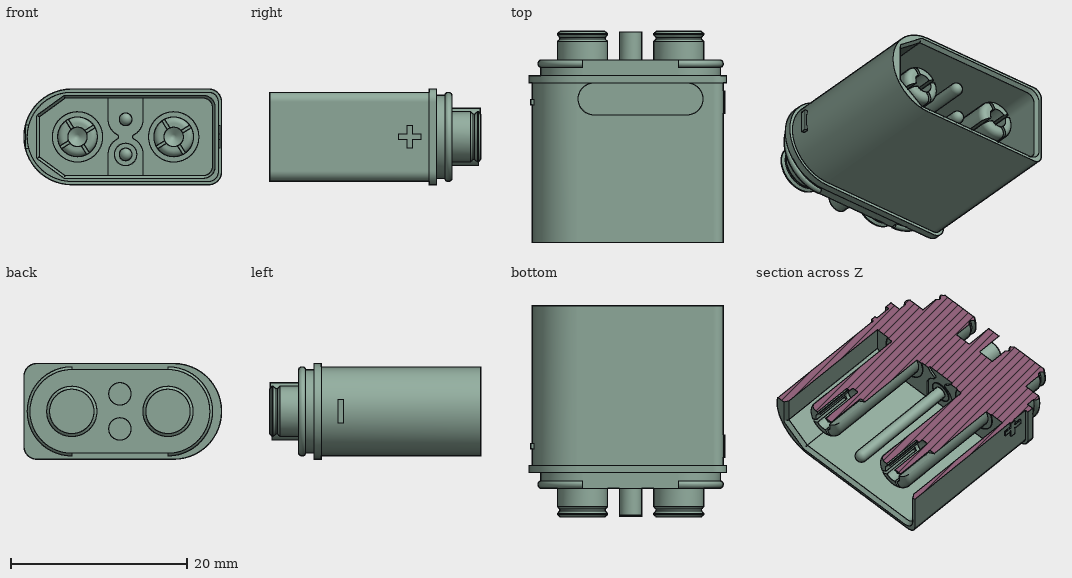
import cadquery as cq
import math

TOTAL_LENGTH = 24

SHELL_RADIUS = 5.06
SHELL_END = 16.63
SHELL_CORNER = 1.1
FLANGE_OVERHANG = 0.38
FLANGE_FRONT = 18.12
FLANGE_REAR = 18.95

BEAD_FRONT = 19.9
BEAD_CREST = 20.28
BEAD_REAR = 20.74
BEAD_HEIGHT = 0.3
CONTACT_SPACING = 10.92
CONTACT_LEFT = SHELL_END - SHELL_RADIUS - CONTACT_SPACING
CONTACT_RIGHT = CONTACT_LEFT + CONTACT_SPACING
CONTACT_MIDDLE = (CONTACT_LEFT + CONTACT_RIGHT) / 2
PLUG_RADIUS = SHELL_RADIUS - BEAD_HEIGHT

CAVITY_DEPTH = 15.0
CAVITY_HALF_HEIGHT = 4.4
CAVITY_LEFT = -3.67
CAVITY_RIGHT = 15.95
CAVITY_CUT_X = -0.77
CAVITY_CUT_Z = 2.28
CAVITY_CORNER = 1.03
MOUTH_FLARE = 0.3
MOUTH_DEPTH = 0.5

RECESS_DEPTH = 0.25
RECESS_RADIUS = 2.0
WAIST_HALF_WIDTH = 0.8

COLLAR_PROUD = 0.1
CUP_RADIUS = 2.85
PIN_RADIUS = 2.25
PIN_TIP = 1.58
PIN_FACE_RADIUS = 1.55
PIN_BORE_RADIUS = 1.1
PIN_BORE_DEPTH = 5.28
PIN_BORE_CONE = 0.65
SLIT_WIDTH = 0.35
SLIT_DEPTH = 4.8
SLIT_ANGLE = 32
GROOVE_DEPTH = 0.26
GROOVE_START = 22.82
GROOVE_END = 23.28
RIDGE_FRONT = 23.62
RIDGE_REAR = 23.7
RIM_RADIUS = 2.52

SIGNAL_OFFSET = 2.0
SIGNAL_RADIUS = 0.72
SIGNAL_BODY_RADIUS = 1.27
SIGNAL_TIP = 1.5
SIGNAL_REAR = 23.74
SIGNAL_STAGGER = 0.2

POCKET_LEFT = 0.15
POCKET_RIGHT = 14.33
POCKET_FRONT = 14.5
POCKET_DEPTH = 0.2
MARK_Y = 15.94
MARK_WIDTH = 0.62
MARK_PROUD = 0.17
MINUS_LENGTH = 2.7
PLUS_LENGTH = 2.55


def section(y):
    """Workplane across the part at depth y, with local axes X and Z."""
    return cq.Workplane("XZ", origin=(0, y, 0))


def shell_block(offset, front, rear):
    """Solid D-shaped length of shell, grown outward by offset."""
    radius = SHELL_RADIUS + offset
    end = SHELL_END + offset
    return (
        section(front)
        .moveTo(end, radius)
        .lineTo(0, radius)
        .threePointArc((-radius, 0), (0, -radius))
        .lineTo(end, -radius)
        .close()
        .extrude(front - rear)
        .edges("|Y and >X")
        .fillet(SHELL_CORNER + offset)
    )


def stadium(radius, front, rear):
    """Slot-shaped solid whose round ends are centred on the power contacts."""
    return (
        section(front)
        .center(CONTACT_MIDDLE, 0)
        .slot2D(CONTACT_SPACING + 2 * radius, 2 * radius)
        .extrude(front - rear)
    )


def bead_half(edge):
    """Disc from the bead crest to one edge, with a round flank tangent to Y at the crest."""
    width = edge - BEAD_CREST
    flank_radius = (width**2 + BEAD_HEIGHT**2) / (2 * BEAD_HEIGHT)
    half_angle = math.asin(width / flank_radius) / 2
    flank_middle = (
        SHELL_RADIUS - flank_radius * (1 - math.cos(half_angle)),
        BEAD_CREST + flank_radius * math.sin(half_angle),
    )
    return (
        cq.Workplane("XY")
        .moveTo(0, BEAD_CREST)
        .lineTo(SHELL_RADIUS, BEAD_CREST)
        .threePointArc(flank_middle, (PLUG_RADIUS, edge))
        .lineTo(0, edge)
        .close()
        .revolve(360, (0, 0, 0), (0, 1, 0))
    )


def rear_body():
    plug = stadium(PLUG_RADIUS, FLANGE_REAR, BEAD_REAR)
    between_ends = (
        section(BEAD_FRONT)
        .center(CONTACT_MIDDLE, 0)
        .rect(CONTACT_SPACING, 2 * SHELL_RADIUS)
        .extrude(BEAD_FRONT - BEAD_REAR)
    )
    for contact_x in (CONTACT_LEFT, CONTACT_RIGHT):
        bead = bead_half(BEAD_FRONT).union(bead_half(BEAD_REAR)).translate((contact_x, 0, 0))
        plug = plug.union(bead.cut(between_ends))
    return plug


def cavity_outline():
    return (
        cq.Sketch()
        .polygon([
            (CAVITY_RIGHT, CAVITY_HALF_HEIGHT),
            (CAVITY_CUT_X, CAVITY_HALF_HEIGHT),
            (CAVITY_LEFT, CAVITY_CUT_Z),
            (CAVITY_LEFT, -CAVITY_CUT_Z),
            (CAVITY_CUT_X, -CAVITY_HALF_HEIGHT),
            (CAVITY_RIGHT, -CAVITY_HALF_HEIGHT),
            (CAVITY_RIGHT, CAVITY_HALF_HEIGHT),
        ])
        .vertices(">X")
        .fillet(CAVITY_CORNER)
        .reset()
    )


def cavity():
    straight = section(0).placeSketch(cavity_outline()).extrude(-CAVITY_DEPTH)
    flare_angle = math.degrees(math.atan(MOUTH_FLARE / MOUTH_DEPTH))
    flare = section(MOUTH_DEPTH).placeSketch(cavity_outline()).extrude(MOUTH_DEPTH, taper=-flare_angle)
    return straight.union(flare)


def floor_recess():
    """Two round-ended slots joined by a waist with a rounded nose on each side."""
    nose_radius = (
        (WAIST_HALF_WIDTH**2 + SIGNAL_OFFSET**2 - RECESS_RADIUS**2)
        / (2 * (RECESS_RADIUS - WAIST_HALF_WIDTH))
    )
    nose_x = WAIST_HALF_WIDTH + nose_radius
    waist_half_height = SIGNAL_OFFSET * nose_radius / (RECESS_RADIUS + nose_radius)

    plane = section(CAVITY_DEPTH).center(CONTACT_MIDDLE, 0)
    noses = plane.pushPoints([(-nose_x, 0), (nose_x, 0)]).circle(nose_radius).extrude(-RECESS_DEPTH)
    recess = plane.rect(2 * nose_x, 2 * waist_half_height).extrude(-RECESS_DEPTH).cut(noses)
    slot_length = CAVITY_HALF_HEIGHT - SIGNAL_OFFSET
    for side in (-1, 1):
        round_end = plane.center(0, side * SIGNAL_OFFSET).circle(RECESS_RADIUS).extrude(-RECESS_DEPTH)
        straight = (
            plane.center(0, side * (SIGNAL_OFFSET + slot_length / 2))
            .rect(2 * RECESS_RADIUS, slot_length)
            .extrude(-RECESS_DEPTH)
        )
        beyond_wall = (
            plane.center(0, side * (CAVITY_HALF_HEIGHT + RECESS_RADIUS))
            .rect(2 * RECESS_RADIUS, 2 * RECESS_RADIUS)
            .extrude(-RECESS_DEPTH)
        )
        recess = recess.union(round_end).union(straight).cut(beyond_wall)
    return recess


def power_contact():
    bore_end = PIN_TIP + PIN_BORE_DEPTH
    nose = PIN_RADIUS - PIN_FACE_RADIUS
    nose_diagonal = nose * math.sqrt(0.5)
    collar_front = CAVITY_DEPTH - COLLAR_PROUD
    groove_radius = CUP_RADIUS - GROOVE_DEPTH
    contact = (
        cq.Workplane("XY")
        .moveTo(0, bore_end + PIN_BORE_CONE)
        .lineTo(PIN_BORE_RADIUS, bore_end)
        .lineTo(PIN_BORE_RADIUS, PIN_TIP)
        .lineTo(PIN_FACE_RADIUS, PIN_TIP)
        .threePointArc(
            (PIN_FACE_RADIUS + nose_diagonal, PIN_TIP + nose - nose_diagonal),
            (PIN_RADIUS, PIN_TIP + nose),
        )
        .lineTo(PIN_RADIUS, collar_front)
        .lineTo(CUP_RADIUS, collar_front)
        .lineTo(CUP_RADIUS, GROOVE_START)
        .lineTo(groove_radius, GROOVE_START + GROOVE_DEPTH)
        .lineTo(groove_radius, GROOVE_END)
        .lineTo(CUP_RADIUS, RIDGE_FRONT)
        .lineTo(CUP_RADIUS, RIDGE_REAR)
        .lineTo(RIM_RADIUS, TOTAL_LENGTH)
        .lineTo(0, TOTAL_LENGTH)
        .close()
        .revolve(360, (0, 0, 0), (0, 1, 0))
    )
    for angle in (SLIT_ANGLE, SLIT_ANGLE + 90):
        slit = (
            section(PIN_TIP)
            .transformed(rotate=(0, 0, angle))
            .rect(2 * CUP_RADIUS, SLIT_WIDTH)
            .extrude(-SLIT_DEPTH)
        )
        contact = contact.cut(slit)
    return contact


def signal_contact():
    tip_centre = SIGNAL_TIP + SIGNAL_RADIUS
    body_front = CAVITY_DEPTH + RECESS_DEPTH - COLLAR_PROUD
    pin = (
        section(tip_centre)
        .circle(SIGNAL_RADIUS)
        .extrude(tip_centre - SIGNAL_REAR)
        .union(cq.Workplane("XY").sphere(SIGNAL_RADIUS).translate((0, tip_centre, 0)))
    )
    body = section(body_front).circle(SIGNAL_BODY_RADIUS).extrude(body_front - SIGNAL_REAR)
    return pin.union(body)


def marking_pocket():
    """Pocket in the top face with round ends, running up to the flange."""
    width = FLANGE_FRONT - POCKET_FRONT
    return (
        cq.Workplane("XY", origin=(0, 0, SHELL_RADIUS - POCKET_DEPTH))
        .center((POCKET_LEFT + POCKET_RIGHT) / 2, (POCKET_FRONT + FLANGE_FRONT) / 2)
        .slot2D(POCKET_RIGHT - POCKET_LEFT, width)
        .extrude(POCKET_DEPTH)
    )


def mark_bar(outer_x, inner_x, y_length, z_length):
    """Raised bar reaching from inner_x inside the wall out to outer_x."""
    return (
        cq.Workplane("XY")
        .box(abs(outer_x - inner_x), y_length, z_length)
        .translate(((outer_x + inner_x) / 2, MARK_Y, 0))
    )


shell = shell_block(0, 0, FLANGE_REAR)
shell = shell.union(shell_block(FLANGE_OVERHANG, FLANGE_FRONT, FLANGE_REAR))
shell = shell.union(rear_body())
shell = shell.cut(cavity()).cut(floor_recess()).cut(marking_pocket())

minus_outer = -SHELL_RADIUS - MARK_PROUD
plus_outer = SHELL_END + MARK_PROUD
shell = shell.union(mark_bar(minus_outer, CAVITY_LEFT - MOUTH_FLARE, MARK_WIDTH, MINUS_LENGTH))
shell = shell.union(mark_bar(plus_outer, CAVITY_RIGHT, PLUS_LENGTH, MARK_WIDTH))
shell = shell.union(mark_bar(plus_outer, CAVITY_RIGHT, MARK_WIDTH, PLUS_LENGTH))

result = shell
for contact_x in (CONTACT_LEFT, CONTACT_RIGHT):
    result = result.union(power_contact().translate((contact_x, 0, 0)))

for signal_z, setback in ((-SIGNAL_OFFSET, 0), (SIGNAL_OFFSET, SIGNAL_STAGGER)):
    result = result.union(signal_contact().translate((CONTACT_MIDDLE, setback, signal_z)))